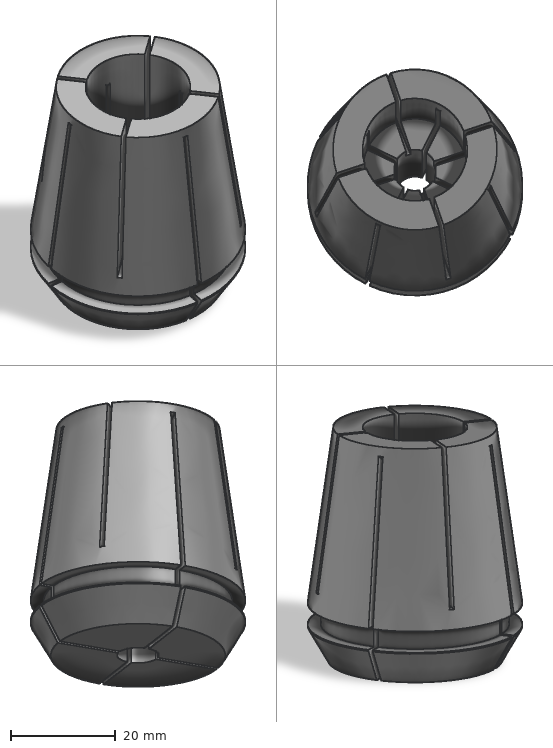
import cadquery as cq
import math

height = 46.0
rim_radius = 20.5
top_radius = 15.65
base_radius = 16.65
groove_radius = 18.0
nose_top = 6.7
flange_top = 7.0
taper_bottom = 11.2

hole_radius = 4.0
counterbore_radius = 10.0
counterbore_floor = 26.2

slot_count = 4
slot_width = 0.9
saw_radius = 21.6
lower_slot_outer_end = 44.15
lower_slot_inner_end = 39.9
upper_slot_outer_end = 15.0
upper_slot_inner_end = 22.1
clearance = 2.3


def taper_radius_at(z):
    """Radius of the long outer taper at height z."""
    fraction = (z - taper_bottom) / (height - taper_bottom)
    return rim_radius + fraction * (top_radius - rim_radius)


def saw_arc_middle(inner, outer, side):
    """Middle of the arc left by the saw; side is +1 to bulge up, -1 to bulge down."""
    dr = outer[0] - inner[0]
    dz = outer[1] - inner[1]
    chord = math.hypot(dr, dz)
    bulge = saw_radius - math.sqrt(saw_radius**2 - (chord / 2)**2)
    middle_r = (inner[0] + outer[0]) / 2 - side * bulge * dz / chord
    middle_z = (inner[1] + outer[1]) / 2 + side * bulge * dr / chord
    return middle_r, middle_z


def slot_cutter(inner, outer, open_z, side):
    """Radial slot from the open end at open_z to a curved end through inner and outer."""
    outside = rim_radius + clearance
    return (
        cq.Workplane("XZ")
        .moveTo(0, open_z)
        .lineTo(0, inner[1])
        .lineTo(*inner)
        .threePointArc(saw_arc_middle(inner, outer, side), outer)
        .lineTo(outside, outer[1])
        .lineTo(outside, open_z)
        .close()
        .extrude(slot_width / 2, both=True)
    )


def cut_slots(body, cutter, first_angle):
    """Cut the slot around the axis at equal angles."""
    for i in range(slot_count):
        angle = first_angle + i * 360 / slot_count
        body = body.cut(cutter.rotate((0, 0, 0), (0, 0, 1), angle))
    return body


body = (
    cq.Workplane("XZ")
    .polyline([
        (hole_radius, 0),
        (base_radius, 0),
        (rim_radius, nose_top),
        (rim_radius, flange_top),
        (groove_radius, flange_top),
        (groove_radius, taper_bottom),
        (rim_radius, taper_bottom),
        (top_radius, height),
        (counterbore_radius, height),
        (counterbore_radius, counterbore_floor),
        (hole_radius, counterbore_floor),
    ])
    .close()
    .revolve(360, (0, 0, 0), (0, 1, 0))
)

lower_slot = slot_cutter(
    (counterbore_radius, lower_slot_inner_end),
    (taper_radius_at(lower_slot_outer_end), lower_slot_outer_end),
    -clearance,
    1,
)
body = cut_slots(body, lower_slot, 0)

upper_slot = slot_cutter(
    (hole_radius, upper_slot_inner_end),
    (taper_radius_at(upper_slot_outer_end), upper_slot_outer_end),
    height + clearance,
    -1,
)
result = cut_slots(body, upper_slot, 180 / slot_count)